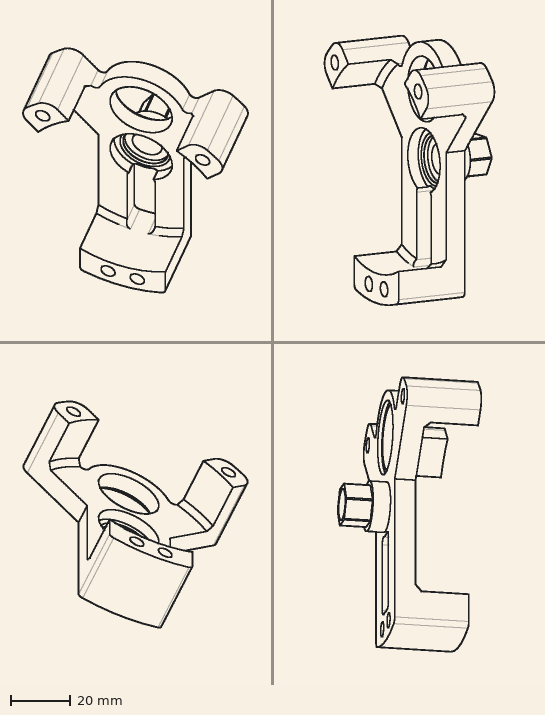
import cadquery as cq
import math


plate_thickness = 7.2
leg_length = 18.35
collar_length = 6.0
hex_length = 9.0
leg_end_y = -(plate_thickness + leg_length)
plate_front_y = -plate_thickness

overall_height = 87.8

outer_radius = 47.2
leg_inner_radius = 37.0
bolt_circle_radius = 41.8
leg_root_chamfer = 2.0

overlap = 0.9

arm_angle = 46.8
arm_slope = math.radians(arm_angle)
arm_width = 15.0
arm_corner_radius = 5.0

stem_width = 30.65
stem_corner_radius = 2.0

bolt_hole_diameter = 5.0
stem_hole_spacing = 10.45

ring_outer_diameter = 32.0
ring_bore_diameter = 22.2
ring_counterbore_diameter = 25.0
ring_counterbore_depth = 1.4
ring_center_z = overall_height - outer_radius - ring_outer_diameter / 2
ring_blend_radius = 2.0

collar_diameter = 17.0
hex_across_flats = 12.8
hex_corner_diameter = 14.5
hub_bore_diameter = 10.5

recess_diameter = 22.2
recess_depth = 4.0
taper_large_diameter = 18.0
taper_small_diameter = 16.25
seat_diameter = 16.0
taper_depth = 0.5
seat_depth = 1.4

slot_width = 10.0
slot_top_radius = 10.0
slot_corner_radius = 2.0


def disc(diameter, y_start, y_end, x=0, z=0):
    """Cylinder along Y between two Y positions."""
    length = y_end - y_start
    return cq.Workplane("XZ", origin=(x, y_end, z)).circle(diameter / 2).extrude(length)


def block(x_min, x_max, z_min, z_max, y_start, y_end):
    """Box given by its limits."""
    size = (x_max - x_min, y_end - y_start, z_max - z_min)
    corner = (x_min, y_start, z_min)
    return cq.Workplane("XY").box(*size, centered=False).translate(corner)


def arm(side):
    """Full-depth arm with a round end; side is -1 for -X and 1 for +X."""
    bar = block(0, outer_radius + overlap, -arm_width / 2, arm_width / 2, leg_end_y, 0)
    bar = bar.intersect(disc(2 * outer_radius, leg_end_y, 0))
    end_corners = cq.selectors.BoxSelector(
        (leg_inner_radius, leg_end_y, -arm_width), (outer_radius, 0, arm_width)
    )
    bar = bar.edges("|Y").edges(end_corners).fillet(arm_corner_radius)
    turn = arm_angle if side > 0 else 180 - arm_angle
    return bar.rotate((0, 0, 0), (0, 1, 0), -turn)


def stem():
    """Full-depth stem, its top ending where its sides meet the arms' lower edges."""
    half_width = stem_width / 2
    top_z = half_width * math.tan(arm_slope) - arm_width / 2 / math.cos(arm_slope)
    body = block(-half_width, half_width, -outer_radius - overlap, top_z, leg_end_y, 0)
    foot_limit = disc(2 * outer_radius, leg_end_y, 0)
    body = body.intersect(foot_limit)
    foot_corners = cq.selectors.BoxSelector(
        (-stem_width, leg_end_y, -outer_radius), (stem_width, 0, -leg_inner_radius)
    )
    return body.edges("|Y").edges(foot_corners).fillet(stem_corner_radius)


def leg_clearance():
    """Space between the legs, narrowing by a chamfer towards the plate."""
    chamfer_y = plate_front_y - leg_root_chamfer
    straight = disc(2 * leg_inner_radius, leg_end_y, chamfer_y)
    cone = (
        cq.Workplane("XZ", origin=(0, chamfer_y, 0))
        .circle(leg_inner_radius)
        .workplane(offset=-leg_root_chamfer)
        .circle(leg_inner_radius - leg_root_chamfer)
        .loft()
    )
    return straight.union(cone)


def slot():
    """Stem slot with arc ends concentric with the hub."""
    half_width = slot_width / 2
    front_y = plate_front_y - leg_root_chamfer
    cutter = block(-half_width, half_width, -leg_inner_radius - overlap, 0, front_y, 0)
    cutter = cutter.intersect(disc(2 * leg_inner_radius, leg_end_y, 0))
    cutter = cutter.cut(disc(2 * slot_top_radius, leg_end_y, 0))
    return cutter.edges("|Y").fillet(slot_corner_radius)


def hub():
    """Round collar followed by a hexagon with its corners trimmed to a circle."""
    hub_end_y = collar_length + hex_length
    collar = disc(collar_diameter, 0, collar_length)
    hexagon = (
        cq.Workplane("XZ", origin=(0, hub_end_y, 0))
        .polygon(6, hex_across_flats, circumscribed=True)
        .extrude(hex_length)
        .rotate((0, 0, 0), (0, 1, 0), 30)
    )
    hexagon = hexagon.intersect(disc(hex_corner_diameter, collar_length, hub_end_y))
    return collar.union(hexagon)


def recess():
    """Wide recess, tapered step and flat seat, revolved about the hub axis."""
    taper_y = plate_front_y + recess_depth
    seat_y = taper_y + taper_depth
    floor_y = seat_y + seat_depth
    profile = [
        (0, plate_front_y),
        (recess_diameter / 2, plate_front_y),
        (recess_diameter / 2, taper_y),
        (taper_large_diameter / 2, taper_y),
        (taper_small_diameter / 2, seat_y),
        (seat_diameter / 2, seat_y),
        (seat_diameter / 2, floor_y),
        (0, floor_y),
    ]
    return cq.Workplane("XY").polyline(profile).close().revolve(360, (0, 0, 0), (0, 1, 0))


body = stem().union(arm(-1)).union(arm(1)).cut(leg_clearance())
body = body.union(disc(ring_outer_diameter, plate_front_y, 0, z=ring_center_z))

ring_along_arm = ring_center_z * math.sin(arm_slope)
ring_across_arm = arm_width / 2 - ring_center_z * math.cos(arm_slope)
corner_along_arm = ring_along_arm + math.sqrt((ring_outer_diameter / 2) ** 2 - ring_across_arm**2)
corner_x = corner_along_arm * math.cos(arm_slope) - arm_width / 2 * math.sin(arm_slope)
corner_z = corner_along_arm * math.sin(arm_slope) + arm_width / 2 * math.cos(arm_slope)
for side in (-1, 1):
    corner = (side * corner_x, plate_front_y / 2, corner_z)
    body = body.edges(cq.selectors.NearestToPointSelector(corner)).fillet(ring_blend_radius)

body = body.union(hub())
body = body.cut(recess()).cut(slot())
body = body.cut(disc(hub_bore_diameter, plate_front_y, collar_length + hex_length))
body = body.cut(disc(ring_bore_diameter, plate_front_y, 0, z=ring_center_z))
body = body.cut(disc(ring_counterbore_diameter, -ring_counterbore_depth, 0, z=ring_center_z))

stem_hole_z = -math.sqrt(bolt_circle_radius**2 - (stem_hole_spacing / 2) ** 2)
for side in (-1, 1):
    arm_hole_x = side * bolt_circle_radius * math.cos(arm_slope)
    arm_hole_z = bolt_circle_radius * math.sin(arm_slope)
    body = body.cut(disc(bolt_hole_diameter, leg_end_y, 0, arm_hole_x, arm_hole_z))
    stem_hole_x = side * stem_hole_spacing / 2
    body = body.cut(disc(bolt_hole_diameter, leg_end_y, 0, stem_hole_x, stem_hole_z))

result = body